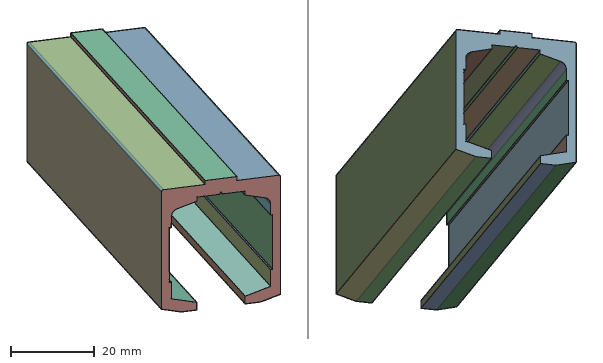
import cadquery as cq
import math

length = 100.0
width = 30.0
height = 33.0
half_width = width / 2

strip_width = 8.0
strip_height = 1.0
roof_top = height - strip_height
top_edge_radius = 0.5

wall_inner_half = 12.5
relief_depth = 0.5
relief_bottom = 8.0
relief_top = 22.0
ceiling = 29.0
ceiling_recess_half = 6.0
ceiling_step = 1.0
ceiling_corner_radius = 2.0

slot_half = 6.1
lip_tip_height = 2.0
bottom_flat_half = 10.0

slope = math.tan(math.radians(15))

groove_width = 0.8
groove_depth = 0.5

outer_slope_top = (half_width - bottom_flat_half) * slope
lip_root_height = lip_tip_height + (wall_inner_half - slot_half) * slope
ceiling_slope_top = ceiling - ceiling_step
ceiling_slope_bottom = ceiling_slope_top - (wall_inner_half - ceiling_recess_half) * slope


def extrude_outline(points):
    """Extrude a closed outline of (y, z) points along the full length, centred in X."""
    return cq.Workplane("YZ").polyline(points).close().extrude(length / 2, both=True)


def mirrored(right_half):
    """Complete an outline by mirroring its +Y points across the centre plane."""
    left_half = [(-y, z) for y, z in reversed(right_half)]
    return right_half + left_half


def outer_body():
    body = extrude_outline(mirrored([
        (bottom_flat_half, 0),
        (half_width, outer_slope_top),
        (half_width, roof_top),
    ]))
    body = body.edges("|X and >Z").fillet(top_edge_radius)
    strip = (
        cq.Workplane("XY")
        .workplane(offset=ceiling)
        .rect(length, strip_width)
        .extrude(height - ceiling)
    )
    return body.union(strip)


def cavity():
    """Cavity with a sloped ceiling, sloped floor and an open slot below."""
    main = extrude_outline(mirrored([
        (slot_half, 0),
        (slot_half, lip_tip_height),
        (wall_inner_half, lip_root_height),
        (wall_inner_half, ceiling_slope_bottom),
        (ceiling_recess_half, ceiling_slope_top),
        (ceiling_recess_half, ceiling),
    ]))
    for side in (-1, 1):
        corner = (0, side * wall_inner_half, ceiling_slope_bottom)
        nearest_edge = cq.selectors.NearestToPointSelector(corner)
        main = main.edges("|X").edges(nearest_edge).fillet(ceiling_corner_radius)
    relief_half = wall_inner_half + relief_depth
    wall_reliefs = extrude_outline(mirrored([
        (relief_half, relief_bottom),
        (relief_half, relief_top),
    ]))
    return main.union(wall_reliefs)


def ceiling_groove():
    return extrude_outline([
        (-groove_width / 2, ceiling),
        (0, ceiling + groove_depth),
        (groove_width / 2, ceiling),
    ])


result = outer_body().cut(cavity()).cut(ceiling_groove())